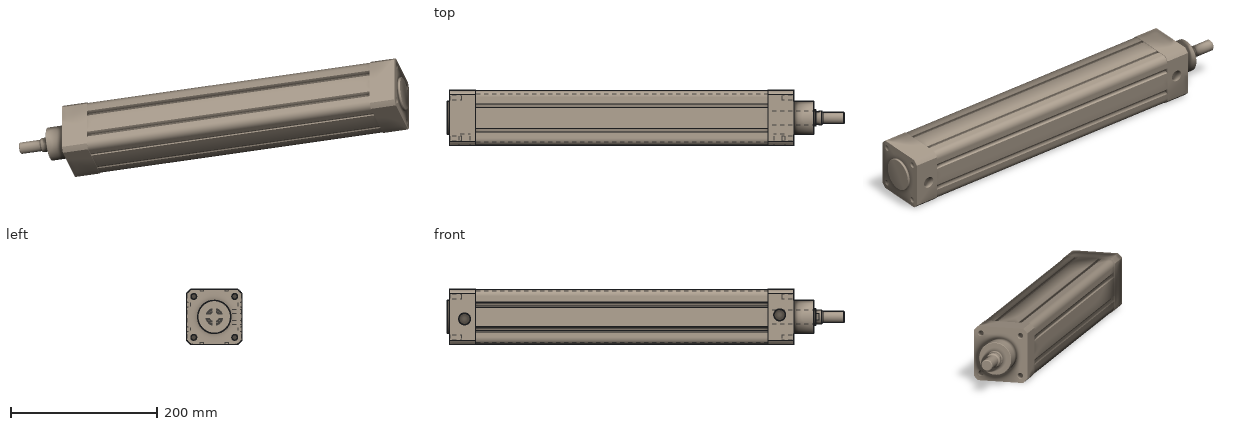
import cadquery as cq

TOTAL_LENGTH = 544.0
PILOT_LENGTH = 3.0
REAR_CAP_LENGTH = 35.5
FRONT_CAP_LENGTH = 35.5
FRONT_CAP_END = 475.0
BOSS_END = 502.0
TUBE_START = PILOT_LENGTH + REAR_CAP_LENGTH
TUBE_END = FRONT_CAP_END - FRONT_CAP_LENGTH

CAP_WIDTH = 76.0
CAP_TURNED_DIAMETER = 99.5
BOSS_DIAMETER = 45.5
BOSS_CHAMFER = 0.5
SEAL_LIP_DIAMETER = 23.0
SEAL_LIP_LENGTH = 3.0
SEAL_LIP_CHAMFER = 1.0
BOLT_SPACING = 56.0
BOLT_HOLE_DIAMETER = 7.0
BOLT_HOLE_DEPTH = 16.5
HOLE_CHAMFER = 0.5

PORT_DIAMETER = 15.0
PORT_DEPTH = 16.5
PORT_OFFSET_Z = 2.5
REAR_PORT_X = 24.0
FRONT_PORT_X = 455.5

TUBE_WIDTH = 75.0
TUBE_CORNER_RADIUS = 9.0
GROOVE_SPACING = 34.0
PLAIN_GROOVE_DEPTH = 2.0
PLAIN_GROOVE_WIDTH = 5.0
SLOPED_GROOVE_DEPTH = 5.0
SLOPED_GROOVE_WIDTH = 7.5
SLOPED_GROOVE_FLOOR_WIDTH = 4.0

ROD_DIAMETER = 19.5
ROD_SHOULDER_X = 514.5
ROD_CHAMFER = 2.0
FLAT_START_X = 505.5
FLAT_END_X = 509.0
FLATS_WIDTH = 17.5
STUD_DIAMETER = 16.0
STUD_CHAMFER = 1.0


def square_bar(start, end, width):
    """Square bar centred on the X axis."""
    return cq.Workplane("YZ", origin=(start, 0, 0)).rect(width, width).extrude(end - start)


def round_bar(start, end, diameter):
    """Round bar centred on the X axis."""
    return cq.Workplane("YZ", origin=(start, 0, 0)).circle(diameter / 2).extrude(end - start)


def blind_hole(diameter, depth):
    """Cutter for a blind hole running along +X from a chamfered mouth at the origin."""
    radius = diameter / 2
    half_section = [
        (0, 0),
        (0, radius + HOLE_CHAMFER),
        (HOLE_CHAMFER, radius),
        (depth, radius),
        (depth, 0),
    ]
    return cq.Workplane("XY").polyline(half_section).close().revolve(360, (0, 0), (1, 0))


def drill_bolt_holes(cap, face_x, inward):
    """Drill the four bolt holes from face_x; inward is 1 to drill towards +X, -1 towards -X."""
    hole = blind_hole(BOLT_HOLE_DIAMETER, BOLT_HOLE_DEPTH)
    if inward < 0:
        hole = hole.mirror("YZ")
    for side_y in (-1, 1):
        for side_z in (-1, 1):
            cap = cap.cut(hole.translate((face_x, side_y * BOLT_SPACING / 2, side_z * BOLT_SPACING / 2)))
    return cap


def port(x, z):
    """Cutter for an air port bored into the -Y side."""
    bore = blind_hole(PORT_DIAMETER, PORT_DEPTH).rotate((0, 0, 0), (0, 0, 1), 90)
    return bore.translate((x, -CAP_WIDTH / 2, z))


def cap_block(start, end):
    """Square cap whose four corners are turned down to a round."""
    return square_bar(start, end, CAP_WIDTH).intersect(round_bar(start, end, CAP_TURNED_DIAMETER))


def make_rear_cap():
    pilot = round_bar(0, PILOT_LENGTH, BOSS_DIAMETER).faces("<X").chamfer(BOSS_CHAMFER)
    cap = cap_block(PILOT_LENGTH, TUBE_START).union(pilot).cut(port(REAR_PORT_X, -PORT_OFFSET_Z))
    return drill_bolt_holes(cap, PILOT_LENGTH, 1)


def make_front_cap():
    lip_end = BOSS_END + SEAL_LIP_LENGTH
    boss = round_bar(FRONT_CAP_END, BOSS_END, BOSS_DIAMETER).faces(">X").chamfer(BOSS_CHAMFER)
    seal_lip = round_bar(BOSS_END, lip_end, SEAL_LIP_DIAMETER).faces(">X").chamfer(SEAL_LIP_CHAMFER)
    rod_bore = round_bar(TUBE_END, lip_end, ROD_DIAMETER)
    cap = cap_block(TUBE_END, FRONT_CAP_END).union(boss).union(seal_lip)
    cap = cap.cut(rod_bore).cut(port(FRONT_PORT_X, PORT_OFFSET_Z))
    return drill_bolt_holes(cap, FRONT_CAP_END, -1)


def groove_pair(depth, mouth_width, floor_width):
    """Two straight-sided grooves along the +Z face of the tube, either side of its middle."""
    face = TUBE_WIDTH / 2
    floor = face - depth
    outline = [
        (-mouth_width / 2, face),
        (-floor_width / 2, floor),
        (floor_width / 2, floor),
        (mouth_width / 2, face),
    ]
    groove = (
        cq.Workplane("YZ", origin=(TUBE_START, 0, 0))
        .polyline(outline)
        .close()
        .extrude(TUBE_END - TUBE_START)
    )
    return [groove.translate((0, side * GROOVE_SPACING / 2, 0)) for side in (-1, 1)]


def make_tube():
    tube = square_bar(TUBE_START, TUBE_END, TUBE_WIDTH).edges("|X").fillet(TUBE_CORNER_RADIUS)
    plain_pair = groove_pair(PLAIN_GROOVE_DEPTH, PLAIN_GROOVE_WIDTH, PLAIN_GROOVE_WIDTH)
    sloped_pair = groove_pair(SLOPED_GROOVE_DEPTH, SLOPED_GROOVE_WIDTH, SLOPED_GROOVE_FLOOR_WIDTH)
    for pair, face_angle in ((plain_pair, 0), (sloped_pair, 90), (plain_pair, 180), (sloped_pair, 270)):
        for groove in pair:
            tube = tube.cut(groove.rotate((0, 0, 0), (1, 0, 0), face_angle))
    return tube


def wrench_flat(side):
    """Cutter for the wrench flat on the +Y (side = 1) or -Y (side = -1) side of the rod."""
    return cq.Workplane("XY", origin=((FLAT_START_X + FLAT_END_X) / 2, side * FLATS_WIDTH, 0)).box(
        FLAT_END_X - FLAT_START_X, FLATS_WIDTH, ROD_DIAMETER
    )


def make_rod():
    shaft = round_bar(TUBE_END, ROD_SHOULDER_X, ROD_DIAMETER).faces(">X").chamfer(ROD_CHAMFER)
    stud = round_bar(ROD_SHOULDER_X, TOTAL_LENGTH, STUD_DIAMETER).faces(">X").chamfer(STUD_CHAMFER)
    return shaft.cut(wrench_flat(1)).cut(wrench_flat(-1)).union(stud)


rear_cap = make_rear_cap()
tube = make_tube()
front_cap = make_front_cap()
rod = make_rod()

result = cq.Compound.makeCompound([rear_cap.val(), tube.val(), front_cap.val(), rod.val()])